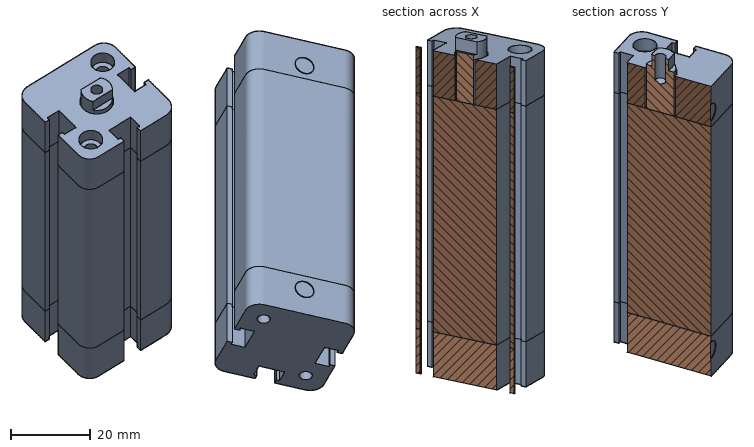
import cadquery as cq
import math

BODY_SIDE = 29.0
TOTAL_HEIGHT = 92.5
ROD_STICKOUT = 4.5
CAP_HEIGHT = 12.2
CORNER_RADIUS = 3.7
BODY_HEIGHT = TOTAL_HEIGHT - ROD_STICKOUT
TUBE_HEIGHT = BODY_HEIGHT - 2 * CAP_HEIGHT
BODY_HALF = BODY_SIDE / 2

SLOT_NECK_WIDTH = 5.3
SLOT_CAVITY_WIDTH = 6.9
SLOT_LIP = 1.4
SLOT_DEPTH = 5.1
SLOT_ANGLES = (0, 90, -90)

BOLT_OFFSET = 9.0
BOLT_DIAMETER = 3.3
BOLT_HEAD_DIAMETER = 6.0
BOLT_HEAD_DEPTH = 3.7
BOLT_PLACES = ((-BOLT_OFFSET, BOLT_OFFSET), (BOLT_OFFSET, -BOLT_OFFSET))

PORT_DIAMETER = 5.0
PORT_DEPTH = 0.2
PORT_END_DISTANCE = 8.0

ROD_DIAMETER = 8.0
ROD_BORE_DIAMETER = 8.5
FLAT_WIDTH = 4.9
FLAT_HEIGHT = 3.4
ROD_HOLE_DIAMETER = 3.0
ROD_HOLE_DEPTH = 7.4
DRILL_TIP_ANGLE = 118.0
ROD_BOTTOM = BODY_HEIGHT - CAP_HEIGHT


def slot_cutter(height):
    """T-slot open towards +X, standing on Z = 0."""
    neck = cq.Workplane("XY").box(SLOT_DEPTH, SLOT_NECK_WIDTH, height, centered=(False, True, False))
    cavity = cq.Workplane("XY").box(
        SLOT_DEPTH - SLOT_LIP, SLOT_CAVITY_WIDTH, height, centered=(False, True, False)
    )
    return neck.union(cavity).translate((BODY_HALF - SLOT_DEPTH, 0, 0))


def profile_block(bottom, height):
    """Length of the slotted body profile with its two through bolt holes."""
    block = cq.Workplane("XY").box(BODY_SIDE, BODY_SIDE, height, centered=(True, True, False))
    block = block.edges("|Z").fillet(CORNER_RADIUS)
    slot = slot_cutter(height)
    for angle in SLOT_ANGLES:
        block = block.cut(slot.rotate((0, 0, 0), (0, 0, 1), angle))
    bolt_holes = cq.Workplane("XY").pushPoints(BOLT_PLACES).circle(BOLT_DIAMETER / 2).extrude(height)
    return block.cut(bolt_holes).translate((0, 0, bottom))


def cut_port(cap, height):
    """Round port recess in the -X face with its axis at the given height."""
    port = (
        cq.Workplane("YZ", origin=(-BODY_HALF, 0, height)).circle(PORT_DIAMETER / 2).extrude(PORT_DEPTH)
    )
    return cap.cut(port)


def make_bottom_cap():
    return cut_port(profile_block(0, CAP_HEIGHT), PORT_END_DISTANCE)


def make_tube():
    return profile_block(CAP_HEIGHT, TUBE_HEIGHT)


def make_top_cap():
    cap = profile_block(BODY_HEIGHT - CAP_HEIGHT, CAP_HEIGHT)
    cap = cut_port(cap, BODY_HEIGHT - PORT_END_DISTANCE)
    top = cq.Workplane("XY", origin=(0, 0, BODY_HEIGHT))
    heads = top.pushPoints(BOLT_PLACES).circle(BOLT_HEAD_DIAMETER / 2).extrude(-BOLT_HEAD_DEPTH)
    rod_bore = top.circle(ROD_BORE_DIAMETER / 2).extrude(-CAP_HEIGHT)
    return cap.cut(heads).cut(rod_bore)


def rod_hole():
    """Blind hole from the rod tip with a conical drill point."""
    radius = ROD_HOLE_DIAMETER / 2
    wall_bottom = TOTAL_HEIGHT - ROD_HOLE_DEPTH
    tip = wall_bottom - radius / math.tan(math.radians(DRILL_TIP_ANGLE / 2))
    return (
        cq.Workplane("XZ")
        .moveTo(0, tip)
        .lineTo(radius, wall_bottom)
        .lineTo(radius, TOTAL_HEIGHT)
        .lineTo(0, TOTAL_HEIGHT)
        .close()
        .revolve(360, (0, 0, 0), (0, 1, 0))
    )


def make_rod():
    """Rod standing on the tube, with two wrench flats and a blind hole at its tip."""
    rod = cq.Workplane("XY", origin=(0, 0, ROD_BOTTOM)).circle(ROD_DIAMETER / 2)
    rod = rod.extrude(TOTAL_HEIGHT - ROD_BOTTOM)
    flat_floor = cq.Workplane("XY", origin=(0, 0, TOTAL_HEIGHT - FLAT_HEIGHT))
    flats = flat_floor.rect(2 * ROD_DIAMETER, 2 * ROD_DIAMETER).rect(FLAT_WIDTH, ROD_DIAMETER)
    return rod.cut(flats.extrude(FLAT_HEIGHT)).cut(rod_hole())


bottom_cap = make_bottom_cap()
tube = make_tube()
top_cap = make_top_cap()
rod = make_rod()

result = cq.Compound.makeCompound([bottom_cap.val(), tube.val(), top_cap.val(), rod.val()])